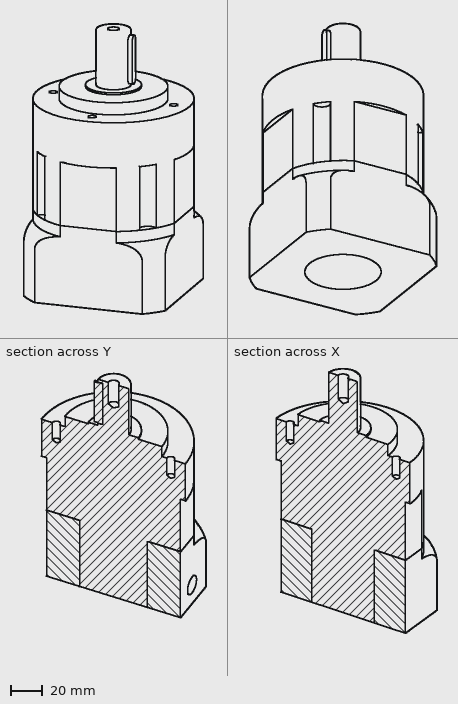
import cadquery as cq
import math

total_height = 169.5
square_side = 93.9
flange_diameter = 101.0

adapter_height = 52.4
flange_bottom = 94.0
flange_top = 123.7
pilot_top = 131.7
collar_top = 132.9

pilot_diameter = 68.1
collar_diameter = 35.1
shaft_diameter = 22.0
shaft_fillet = 1.0

drill_point_angle = 118.0
mount_hole_diameter = 5.1
mount_hole_depth = 13.5
mount_circle_diameter = 80.0
center_hole_diameter = 7.1
center_hole_depth = 17.0

groove_diameter = 11.2
groove_circle_diameter = 99.7

adapter_corner_diameter = 118.0
shoulder_height = 35.0
shoulder_radius = 10.2
hub_diameter = 47.8
port_diameter = 12.5
port_y = -16.0
port_z = 15.0

key_width = 6.0
key_height = 6.0
key_length = 32.0
key_bottom = 134.5
key_outer_x = 13.5


def cylinder(diameter, bottom, top):
    return cq.Workplane("XY").workplane(offset=bottom).circle(diameter / 2).extrude(top - bottom)


def square_block(bottom, top):
    return cq.Workplane("XY").workplane(offset=bottom).rect(square_side, square_side).extrude(top - bottom)


def drilled_hole(x, y, top, diameter, depth):
    """Straight hole going down from top, ending in a drill point."""
    radius = diameter / 2
    point_length = radius / math.tan(math.radians(drill_point_angle / 2))
    profile = (
        cq.Workplane("XZ")
        .polyline([(0, 0), (radius, 0), (radius, -depth), (0, -depth - point_length)])
        .close()
    )
    return profile.revolve(360, (0, 0), (0, 1)).translate((x, y, top))


def make_key():
    """Parallel key with round ends, lying along the shaft on its +X side."""
    return (
        cq.Workplane("YZ")
        .workplane(offset=key_outer_x - key_height)
        .center(0, key_bottom + key_length / 2)
        .slot2D(key_length, key_width, 90)
        .extrude(key_height)
    )


def make_gear_case():
    """Square case with round corners and a screw groove down each corner."""
    case = square_block(adapter_height, flange_bottom)
    case = case.intersect(cylinder(flange_diameter, adapter_height, flange_bottom))
    grooves = (
        cq.Workplane("XY")
        .workplane(offset=adapter_height)
        .polarArray(groove_circle_diameter / 2, 45, 360, 4)
        .circle(groove_diameter / 2)
        .extrude(flange_bottom - adapter_height)
    )
    return case.cut(grooves)


def make_gearbox(key):
    """Input hub, gear case, flange, pilot, collar and output shaft as one stepped body."""
    shaft = cylinder(shaft_diameter, collar_top, total_height).faces(">Z").edges().fillet(shaft_fillet)
    gearbox = (
        cylinder(hub_diameter, 0, adapter_height)
        .union(make_gear_case())
        .union(cylinder(flange_diameter, flange_bottom, flange_top))
        .union(cylinder(pilot_diameter, flange_top, pilot_top))
        .union(cylinder(collar_diameter, pilot_top, collar_top))
        .union(shaft)
    )

    for angle in range(0, 360, 90):
        x = mount_circle_diameter / 2 * math.cos(math.radians(angle))
        y = mount_circle_diameter / 2 * math.sin(math.radians(angle))
        gearbox = gearbox.cut(drilled_hole(x, y, flange_top, mount_hole_diameter, mount_hole_depth))

    gearbox = gearbox.cut(drilled_hole(0, 0, total_height, center_hole_diameter, center_hole_depth))

    return gearbox.cut(key)


def make_adapter():
    """Square motor adapter, its corners rounded in plan and stepped in to the gear case."""
    corner_radius = adapter_corner_diameter / 2
    shoulder_top = shoulder_height + shoulder_radius
    arc_center_r = corner_radius - shoulder_radius
    arc_middle = shoulder_radius * math.sin(math.radians(45))

    envelope = (
        cq.Workplane("XZ")
        .moveTo(0, 0)
        .lineTo(corner_radius, 0)
        .lineTo(corner_radius, shoulder_height)
        .threePointArc((arc_center_r + arc_middle, shoulder_height + arc_middle), (arc_center_r, shoulder_top))
        .lineTo(0, shoulder_top)
        .close()
        .revolve(360, (0, 0), (0, 1))
        .union(cylinder(flange_diameter, 0, adapter_height))
    )
    adapter = square_block(0, adapter_height).intersect(envelope)

    adapter = adapter.cut(cylinder(hub_diameter, 0, adapter_height))

    port = (
        cq.Workplane("YZ")
        .workplane(offset=-square_side / 2)
        .center(port_y, port_z)
        .circle(port_diameter / 2)
        .extrude(square_side / 2)
    )
    return adapter.cut(port)


key = make_key()
gearbox = make_gearbox(key)
adapter = make_adapter()

result = cq.Compound.makeCompound([gearbox.val(), adapter.val(), key.val()])